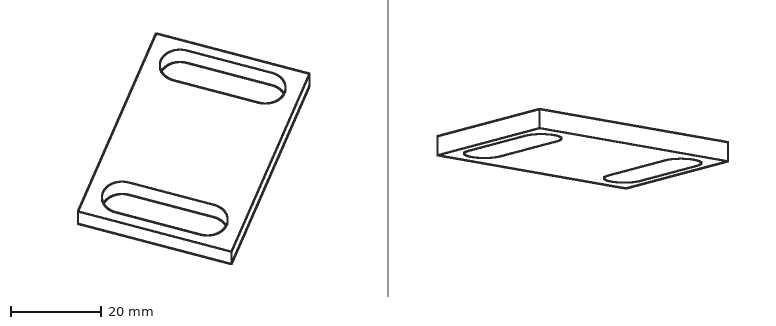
import cadquery as cq

plate_width = 36.0
plate_length = 54.0
plate_thickness = 4.4

slot_length = 29.0
slot_width = 9.0
slot_spacing = 40.0

plate = cq.Workplane("XY").box(plate_width, plate_length, plate_thickness)

result = (
    plate.faces(">Z")
    .workplane()
    .pushPoints([(0, -slot_spacing / 2), (0, slot_spacing / 2)])
    .slot2D(slot_length, slot_width)
    .cutThruAll()
)